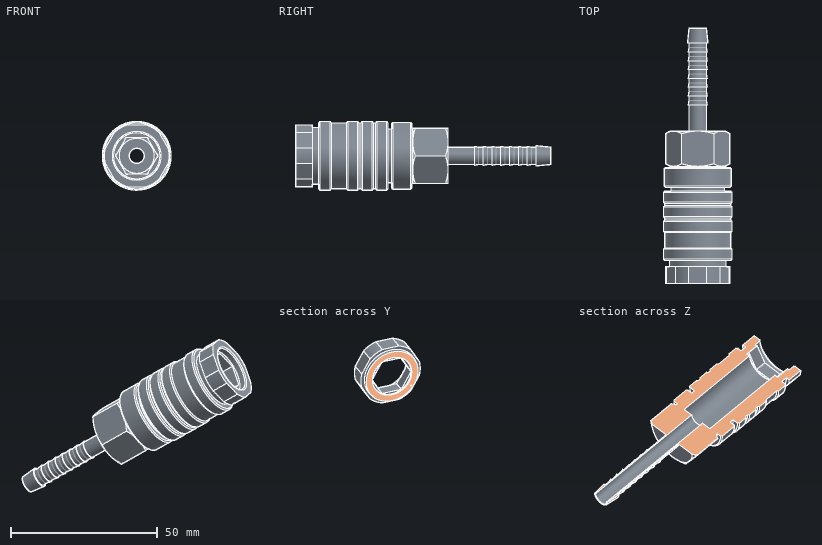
import cadquery as cq
import math

LENGTH = 87.0

MOUTH_NUT_END = 5.7
MOUTH_NUT_FLATS = 21.1
MOUTH_NUT_DIA = 22.0

NECK_DIA = 19.4
SLEEVE_START = 7.8
SLEEVE_END = 31.5
SLEEVE_DIA = 22.5
RING_DIA = 23.5
RING_CHAMFER = (RING_DIA - SLEEVE_DIA) / 2
FRONT_RING_LENGTH = 4.35
GRIP_RING_LENGTH = 4.3
GRIP_RING_PITCH = 5.0
GRIP_RING_COUNT = 3

REAR_NECK_DIA = 18.4
COLLAR_START = 32.7
COLLAR_END = 39.6
COLLAR_DIA = 22.9
COLLAR_CHAMFER = 0.4

BODY_NUT_START = 39.9
BODY_NUT_END = 51.9
BODY_NUT_FLATS = 19.0
BODY_NUT_CHAMFER_ANGLE = 30.0

TAIL_DIA = 6.0
TIP_BARB_DIA = 7.05
TIP_BARB_LENGTH = 5.1
BARB_DIA = 6.5
BARB_LENGTH = 1.5
BARB_COUNT = 7
BARBED_LENGTH = 21.0
BARB_PITCH = BARBED_LENGTH / BARB_COUNT

MOUTH_DIA = 16.6
MOUTH_BORE_DIA = 15.75
MOUTH_CHAMFER = (MOUTH_DIA - MOUTH_BORE_DIA) / 2
MOUTH_DEPTH = 2.5
HEX_POCKET_FLATS = 12.4
HEX_POCKET_END = 6.6
RELIEF_END = 7.5
CHAMBER_DIA = 11.9
CHAMBER_END = COLLAR_END
TAIL_HOLE_DIA = 5.05


def across_corners(flats):
    return flats / math.cos(math.radians(30))


def revolved(profile):
    """Solid of revolution about Y from (diameter, y) points, closed along the axis."""
    first_y = profile[0][1]
    last_y = profile[-1][1]
    outline = [(0, first_y)]
    outline += [(dia / 2, y) for dia, y in profile]
    outline += [(0, last_y)]
    return cq.Workplane("XY").polyline(outline).close().revolve(360, (0, 0), (0, 1))


def cylinder(dia, start, end):
    return revolved([(dia, start), (dia, end)])


def chamfered_disc(dia, start, end, chamfer):
    edge_dia = dia - 2 * chamfer
    return revolved([(edge_dia, start), (dia, start + chamfer), (dia, end - chamfer), (edge_dia, end)])


def hexagon(flats, start, end):
    """Hexagonal prism along Y with corners on the X axis and flats facing up and down."""
    plane = cq.Workplane("XZ", origin=(0, end, 0))
    return plane.polygon(6, across_corners(flats)).extrude(end - start)


def mouth_nut():
    turned_blank = cylinder(MOUTH_NUT_DIA, 0, MOUTH_NUT_END)
    return hexagon(MOUTH_NUT_FLATS, 0, MOUTH_NUT_END).intersect(turned_blank)


def sleeve():
    body = cylinder(NECK_DIA, MOUTH_NUT_END, SLEEVE_START)
    body = body.union(cylinder(SLEEVE_DIA, SLEEVE_START, SLEEVE_END))
    front_ring_end = SLEEVE_START + FRONT_RING_LENGTH
    body = body.union(chamfered_disc(RING_DIA, SLEEVE_START, front_ring_end, RING_CHAMFER))
    for i in range(GRIP_RING_COUNT):
        ring_end = SLEEVE_END - i * GRIP_RING_PITCH
        ring_start = ring_end - GRIP_RING_LENGTH
        body = body.union(chamfered_disc(RING_DIA, ring_start, ring_end, RING_CHAMFER))
    return body


def collar():
    neck = cylinder(REAR_NECK_DIA, SLEEVE_END, COLLAR_START)
    return neck.union(chamfered_disc(COLLAR_DIA, COLLAR_START, COLLAR_END, COLLAR_CHAMFER))


def body_nut():
    corner_dia = across_corners(BODY_NUT_FLATS)
    corner_height = (corner_dia - BODY_NUT_FLATS) / 2
    chamfer_length = corner_height * math.tan(math.radians(BODY_NUT_CHAMFER_ANGLE))
    turned_blank = revolved([
        (BODY_NUT_FLATS, BODY_NUT_START),
        (corner_dia, BODY_NUT_START + chamfer_length),
        (corner_dia, BODY_NUT_END - chamfer_length),
        (BODY_NUT_FLATS, BODY_NUT_END),
    ])
    nut = hexagon(BODY_NUT_FLATS, BODY_NUT_START, BODY_NUT_END).intersect(turned_blank)
    return nut.union(cylinder(BODY_NUT_FLATS, COLLAR_END, BODY_NUT_START))


def hose_tail():
    tip_barb_start = LENGTH - TIP_BARB_LENGTH
    profile = [(TAIL_DIA, BODY_NUT_END)]
    for i in range(BARB_COUNT, 0, -1):
        barb_start = tip_barb_start - i * BARB_PITCH
        profile += [
            (TAIL_DIA, barb_start),
            (BARB_DIA, barb_start),
            (TAIL_DIA, barb_start + BARB_LENGTH),
        ]
    profile += [(TAIL_DIA, tip_barb_start), (TIP_BARB_DIA, tip_barb_start), (TAIL_DIA, LENGTH)]
    return revolved(profile)


def passage():
    mouth = revolved([
        (MOUTH_DIA, 0),
        (MOUTH_BORE_DIA, MOUTH_CHAMFER),
        (MOUTH_BORE_DIA, MOUTH_DEPTH),
    ])
    hex_pocket = hexagon(HEX_POCKET_FLATS, MOUTH_DEPTH, HEX_POCKET_END)
    relief = cylinder(across_corners(HEX_POCKET_FLATS), HEX_POCKET_END, RELIEF_END)
    chamber = cylinder(CHAMBER_DIA, RELIEF_END, CHAMBER_END)
    tail_hole = cylinder(TAIL_HOLE_DIA, CHAMBER_END, LENGTH)
    return mouth.union(hex_pocket).union(relief).union(chamber).union(tail_hole)


outside = mouth_nut().union(sleeve()).union(collar()).union(body_nut()).union(hose_tail())
result = outside.cut(passage())